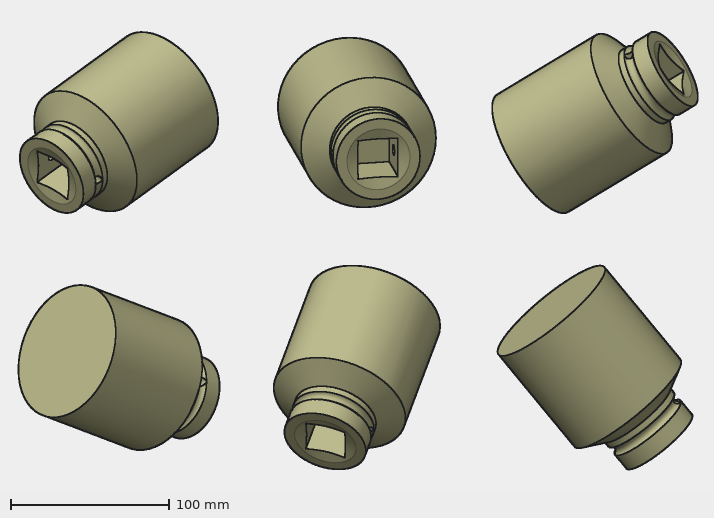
import cadquery as cq

length = 110.0
body_diameter = 87.0
neck_diameter = 53.9
neck_length = 22.8
cone_end = 32.3

groove_center = 15.1
groove_radius = 3.3
groove_center_offset = 0.7
pin_hole_diameter = 6.5

drive_square = 25.6
drive_depth = 29.7
lead_in_diameter = 40.6
lead_in_depth = 2.0


def turned_body():
    """Neck, cone and cylindrical body turned about the Y axis."""
    body_radius = body_diameter / 2
    neck_radius = neck_diameter / 2
    outline = [
        (0, 0),
        (neck_radius, 0),
        (neck_radius, neck_length),
        (body_radius, cone_end),
        (body_radius, length),
        (0, length),
    ]
    return cq.Workplane("XY").polyline(outline).close().revolve(360, (0, 0), (0, 1))


def retaining_groove():
    """Round-bottomed ring groove around the neck."""
    ring_radius = neck_diameter / 2 + groove_center_offset
    return (
        cq.Workplane("XY")
        .center(ring_radius, groove_center)
        .circle(groove_radius)
        .revolve(360, (-ring_radius, 0), (-ring_radius, 1))
    )


def pin_hole():
    """Cross hole along X through the neck, centered in the groove."""
    return (
        cq.Workplane("YZ")
        .center(groove_center, 0)
        .circle(pin_hole_diameter / 2)
        .extrude(neck_diameter, both=True)
    )


def drive_recess():
    """Blind square recess with a conical lead-in at its mouth."""
    square = cq.Workplane("XZ").rect(drive_square, drive_square).extrude(-drive_depth)
    lead_in = cq.Workplane("XY").add(
        cq.Solid.makeCone(
            lead_in_diameter / 2,
            drive_square / 2,
            lead_in_depth,
            pnt=cq.Vector(0, 0, 0),
            dir=cq.Vector(0, 1, 0),
        )
    )
    return square.union(lead_in)


result = turned_body().cut(retaining_groove()).cut(pin_hole()).cut(drive_recess())